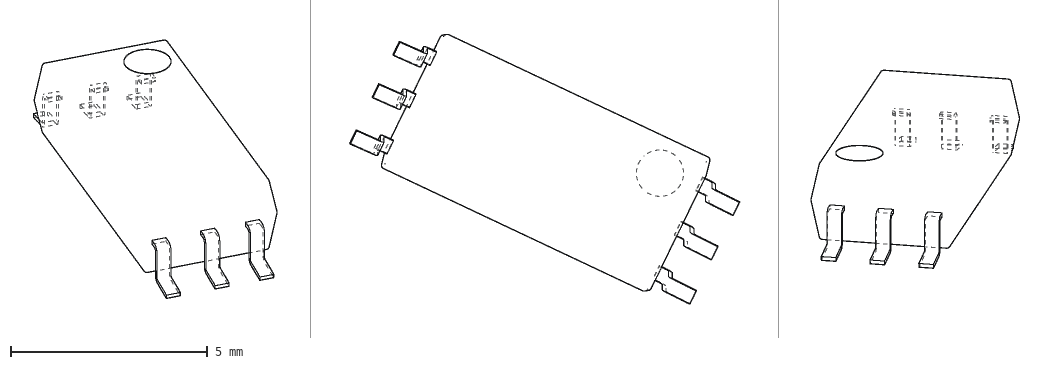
import cadquery as cq
import math

body_length = 7.5
body_height = 2.09
body_mid_width = 3.845
body_end_width = 3.38
body_edge_radius = 0.1
overall_height = 2.27

mark_diameter = 1.2
mark_height = 0.01
mark_x = -2.82
mark_y = 0.84

lead_span = 9.6
lead_width = 0.38
lead_thickness = 0.11
lead_pitch = 1.27
lead_row_offset = -0.055
lead_column_outset = 0.37
lead_drop = 0.07
lead_embed = 0.3
shoulder_inner_radius = 0.08
heel_inner_radius = 0.04
foot_angle = math.radians(8)
right_middle_lead_y = 0.0

body_top = overall_height - mark_height
body_bottom = body_top - body_height
parting_z = (body_top + body_bottom) / 2


def make_body():
    """Prism with a hexagonal section, all edges rounded."""
    half_mid = body_mid_width / 2
    half_end = body_end_width / 2
    section = [
        (-half_end, body_bottom),
        (half_end, body_bottom),
        (half_mid, parting_z),
        (half_end, body_top),
        (-half_end, body_top),
        (-half_mid, parting_z),
    ]
    prism = cq.Workplane("YZ").polyline(section).close().extrude(body_length / 2, both=True)
    return prism.edges().fillet(body_edge_radius)


def make_mark():
    """Thin raised disc on the top face."""
    disc = cq.Workplane("XY").workplane(offset=body_top).center(mark_x, mark_y)
    return disc.circle(mark_diameter / 2).extrude(mark_height)


def make_lead(center_y):
    """Gull-wing lead at the +X end, bent from a strip of constant thickness."""
    half_thickness = lead_thickness / 2
    shoulder_radius = shoulder_inner_radius + half_thickness
    heel_radius = heel_inner_radius + half_thickness
    shoulder_z = parting_z - lead_drop - half_thickness
    start_x = body_length / 2 - lead_embed
    column_x = body_length / 2 + lead_column_outset - half_thickness

    tip_x = lead_span / 2 - half_thickness * math.sin(foot_angle)
    tip_z = half_thickness * math.cos(foot_angle)
    heel_z = tip_z + (tip_x - column_x) * math.tan(foot_angle)

    centerline = (
        cq.Workplane("XZ")
        .moveTo(start_x, shoulder_z)
        .lineTo(column_x - shoulder_radius, shoulder_z)
        .radiusArc((column_x, shoulder_z - shoulder_radius), shoulder_radius)
    )
    turn = math.pi / 2 - foot_angle
    tangent_length = heel_radius * math.tan(turn / 2)
    heel_end = (
        column_x + tangent_length * math.cos(foot_angle),
        heel_z - tangent_length * math.sin(foot_angle),
    )
    centerline = (
        centerline.lineTo(column_x, heel_z + tangent_length)
        .radiusArc(heel_end, -heel_radius)
        .lineTo(tip_x, tip_z)
    )
    strip = cq.Workplane("YZ", origin=(start_x, 0, shoulder_z)).rect(lead_width, lead_thickness)
    return strip.sweep(centerline).translate((0, center_y, 0))


result = make_body().union(make_mark())
for row_index in (-1, 0, 1):
    lead_y = lead_row_offset + row_index * lead_pitch
    right_y = right_middle_lead_y if row_index == 0 else lead_y
    result = result.union(make_lead(right_y))
    result = result.union(make_lead(lead_y).mirror("YZ"))